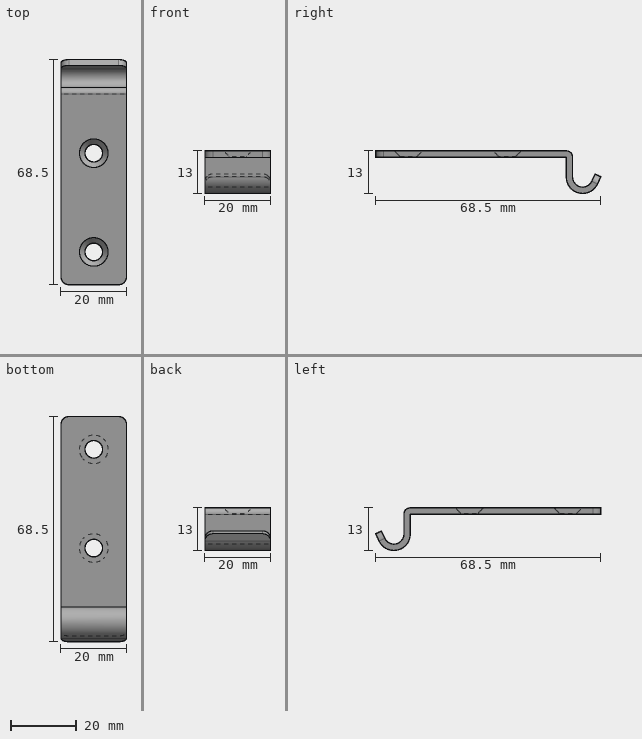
import cadquery as cq
import math

width = 20.0
length = 68.5
height = 13.0
thickness = 2.0
bend_radius = 2.0
corner_radius = 2.5

hook_outer_radius = 5.0
hook_inner_radius = hook_outer_radius - thickness
tip_angle = math.radians(25)
tip_length = corner_radius

hole_diameter = 5.3
countersink_diameter = 8.7
countersink_angle = 90
first_hole_y = 10.0
hole_spacing = 30.0
hole_count = 2

tip_overhang = hook_outer_radius * math.cos(tip_angle) + tip_length * math.sin(tip_angle)
hook_center_y = length - tip_overhang
hook_center_z = hook_outer_radius
leg_front_y = hook_center_y - hook_outer_radius
leg_back_y = leg_front_y + thickness
plate_bottom_z = height - thickness


def hook_point(radius, angle, extension=0.0):
    """Point at an angle below +Y on the hook, moved along the tangent."""
    y = hook_center_y + radius * math.cos(angle) + extension * math.sin(angle)
    z = hook_center_z - radius * math.sin(angle) + extension * math.cos(angle)
    return (y, z)


def bent_strip():
    """Constant-thickness side profile extruded across the width."""
    bend_mid = bend_radius * math.sqrt(0.5)
    profile = (
        cq.Workplane("YZ")
        .moveTo(0, plate_bottom_z)
        .lineTo(leg_front_y, plate_bottom_z)
        .lineTo(leg_front_y, hook_center_z)
        .threePointArc(
            hook_point(hook_outer_radius, math.pi / 2),
            hook_point(hook_outer_radius, tip_angle),
        )
        .lineTo(*hook_point(hook_outer_radius, tip_angle, tip_length))
        .lineTo(*hook_point(hook_inner_radius, tip_angle, tip_length))
        .lineTo(*hook_point(hook_inner_radius, tip_angle))
        .threePointArc(hook_point(hook_inner_radius, math.pi / 2), (leg_back_y, hook_center_z))
        .lineTo(leg_back_y, height - bend_radius)
        .threePointArc(
            (leg_back_y - bend_radius + bend_mid, height - bend_radius + bend_mid),
            (leg_back_y - bend_radius, height),
        )
        .lineTo(0, height)
        .close()
    )
    return profile.extrude(width / 2, both=True)


def round_strip_ends(strip):
    """Round both corners of the plate and both corners of the hook tip."""
    plate_corners = strip.faces("<Y").edges("|Z")
    strip = plate_corners.fillet(corner_radius)
    tip_y, tip_z = hook_point((hook_outer_radius + hook_inner_radius) / 2, tip_angle, tip_length)
    tip_face = strip.faces(cq.selectors.NearestToPointSelector((0, tip_y, tip_z)))
    tip_corners = tip_face.edges("not |X")
    return tip_corners.fillet(corner_radius)


def cut_screw_holes(strip):
    """Through holes countersunk from the top face."""
    hole_centers = [(0, first_hole_y + i * hole_spacing) for i in range(hole_count)]
    return (
        strip.faces(">Z")
        .workplane(origin=(0, 0, height))
        .pushPoints(hole_centers)
        .cskHole(hole_diameter, countersink_diameter, countersink_angle, thickness)
    )


result = cut_screw_holes(round_strip_ends(bent_strip()))